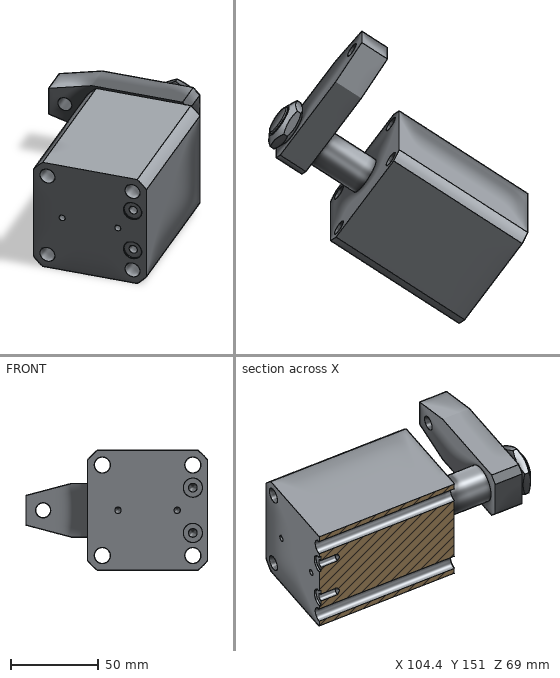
import cadquery as cq
import math


housing_side = 69.0
housing_length = 90.0
corner_turning_radius = 45.0
mounting_hole_diameter = 9.0
mounting_hole_spacing = 52.0
locating_hole_diameter = 3.6
locating_hole_spacing = 34.0
locating_hole_depth = 9.0
port_offset_x = mounting_hole_spacing / 2
port_spacing_z = 26.0
port_diameter = 5.0
port_depth = 12.1
port_recess_diameter = 11.0
port_recess_depth = 1.2
drill_point_angle = 118

rod_diameter = 22.3
rod_exposed_length = 32.9
stud_diameter = 18.0
stud_tip_chamfer = 0.8

arm_thickness = 18.0
arm_height = 31.0
arm_nose_height = 17.0
arm_nose_reach = 69.9
arm_taper_length = 26.3
arm_heel_reach = 16.0
arm_heel_chamfer = 4.1
arm_hole_diameter = 8.5
arm_hole_from_nose = 10.0

nut_sides = 6
nut_across_flats = 27.0
nut_chamfer_angle = 30
nut_face_diameter = 20.0
stud_protrusion = 1.0

overall_length = 151.0
arm_start = housing_length + rod_exposed_length
nut_start = arm_start + arm_thickness
nut_end = overall_length - stud_protrusion
nut_thickness = nut_end - nut_start


def cylinder(diameter, start, length, x=0, z=0):
    """Cylinder along +Y."""
    base = cq.Vector(x, start, z)
    return cq.Workplane(cq.Solid.makeCylinder(diameter / 2, length, base, cq.Vector(0, 1, 0)))


def drilled_hole(diameter, depth, x, z):
    """Blind hole from the mounting face, ending in a drill point."""
    radius = diameter / 2
    point_length = radius / math.tan(math.radians(drill_point_angle / 2))
    point = cq.Solid.makeCone(radius, 0, point_length, cq.Vector(x, depth, z), cq.Vector(0, 1, 0))
    return cylinder(diameter, 0, depth, x, z).union(cq.Workplane(point))


def make_housing():
    """Square block with corners turned about the rod axis, drilled for mounting and ports."""
    block = cq.Workplane("XY").box(housing_side, housing_length, housing_side)
    block = block.translate((0, housing_length / 2, 0))
    housing = block.intersect(cylinder(2 * corner_turning_radius, 0, housing_length))

    for x_side in (-1, 1):
        x_mounting = x_side * mounting_hole_spacing / 2
        for z_side in (-1, 1):
            z_mounting = z_side * mounting_hole_spacing / 2
            housing = housing.cut(cylinder(mounting_hole_diameter, 0, housing_length, x_mounting, z_mounting))
        x_locating = x_side * locating_hole_spacing / 2
        housing = housing.cut(drilled_hole(locating_hole_diameter, locating_hole_depth, x_locating, 0))

    for z_side in (-1, 1):
        z_port = z_side * port_spacing_z / 2
        housing = housing.cut(cylinder(port_recess_diameter, 0, port_recess_depth, port_offset_x, z_port))
        housing = housing.cut(drilled_hole(port_diameter, port_depth, port_offset_x, z_port))
    return housing


def make_rod():
    """Rod standing on the housing, shouldered down to the stud."""
    shank = cylinder(rod_diameter, housing_length, rod_exposed_length)
    stud = cylinder(stud_diameter, arm_start, overall_length - arm_start)
    stud = stud.faces(">Y").chamfer(stud_tip_chamfer)
    return shank.union(stud)


def make_arm():
    """Flat arm tapering to a narrow nose at -X, with a chamfered heel at +X."""
    half_height = arm_height / 2
    half_nose = arm_nose_height / 2
    taper_end_x = arm_taper_length - arm_nose_reach
    upper_edge = [
        (-arm_nose_reach, half_nose),
        (taper_end_x, half_height),
        (arm_heel_reach - arm_heel_chamfer, half_height),
        (arm_heel_reach, half_height - arm_heel_chamfer),
    ]
    lower_edge = [(x, -z) for x, z in reversed(upper_edge)]
    hole_x = arm_hole_from_nose - arm_nose_reach
    arm = cq.Workplane("XZ", origin=(0, arm_start, 0)).polyline(upper_edge + lower_edge).close()
    arm = arm.extrude(-arm_thickness)
    arm = arm.cut(cylinder(stud_diameter, arm_start, arm_thickness))
    return arm.cut(cylinder(arm_hole_diameter, arm_start, arm_thickness, hole_x))


def make_nut():
    """Hexagon nut with corners up and down in Z, chamfered on both faces."""
    corner_radius = nut_across_flats / 2 / math.cos(math.radians(180 / nut_sides))
    corner_angles = [2 * math.pi * i / nut_sides for i in range(nut_sides)]
    corners = [(corner_radius * math.sin(angle), corner_radius * math.cos(angle)) for angle in corner_angles]
    hexagon = cq.Workplane("XZ", origin=(0, nut_start, 0)).polyline(corners).close().extrude(-nut_thickness)

    slope = math.tan(math.radians(nut_chamfer_angle))
    face_radius = nut_face_diameter / 2
    chamfer_height = (corner_radius - face_radius) * slope
    chamfer_profile = [
        (0, nut_start),
        (face_radius, nut_start),
        (corner_radius, nut_start + chamfer_height),
        (corner_radius, nut_end - chamfer_height),
        (face_radius, nut_end),
        (0, nut_end),
    ]
    envelope = cq.Workplane("XY").polyline(chamfer_profile).close().revolve(360, (0, 0, 0), (0, 1, 0))
    return hexagon.intersect(envelope).cut(cylinder(stud_diameter, nut_start, nut_thickness))


housing = make_housing()
rod = make_rod()
arm = make_arm()
nut = make_nut()

result = cq.Compound.makeCompound([housing.val(), rod.val(), arm.val(), nut.val()])